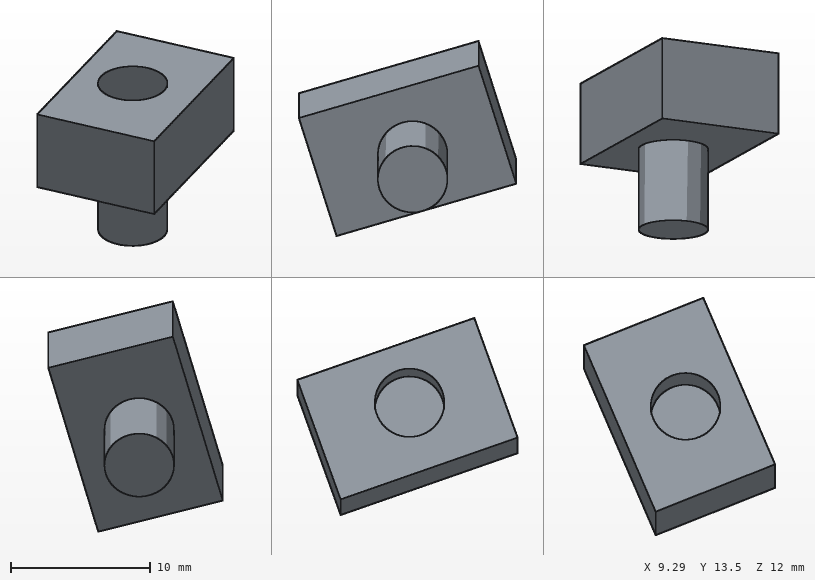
import cadquery as cq

block_height = 6.0
axis_to_left = 4.29
axis_to_right = 5.0
axis_to_front = 7.03
axis_to_back = 6.47
block_width = axis_to_left + axis_to_right
block_depth = axis_to_front + axis_to_back

pin_diameter = 5.0
pin_length = 6.0
hole_diameter = pin_diameter
hole_depth = 3.0


def make_block():
    return (
        cq.Workplane("XY")
        .box(block_width, block_depth, block_height, centered=False)
        .translate((-axis_to_left, -axis_to_front, 0))
    )


def make_pin():
    return cq.Workplane("XY").circle(pin_diameter / 2).extrude(-pin_length)


def make_hole():
    return (
        cq.Workplane("XY")
        .workplane(offset=block_height)
        .circle(hole_diameter / 2)
        .extrude(-hole_depth)
    )


result = make_block().union(make_pin()).cut(make_hole())